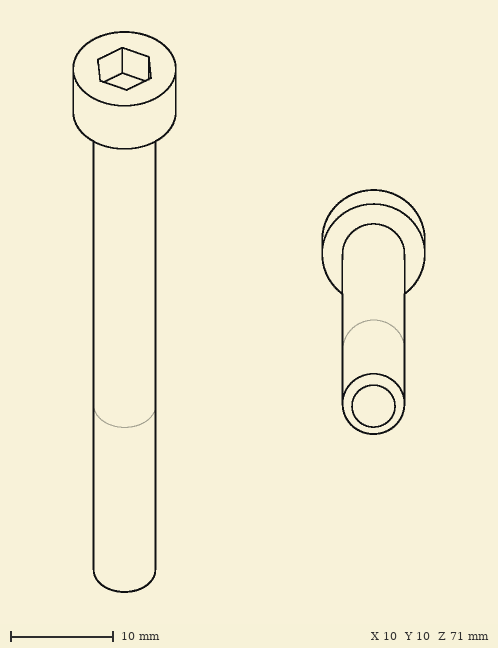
import cadquery as cq
import math

total_length = 71.0
head_diameter = 10.0
shank_diameter = 6.0
head_height = shank_diameter
thread_length = 24.0
tip_chamfer_radial = 0.9
tip_chamfer_length = 0.9
socket_across_flats = 5.0
socket_depth = 3.55

shank_length = total_length - head_height
plain_length = shank_length - thread_length
shank_radius = shank_diameter / 2
socket_across_corners = socket_across_flats / math.cos(math.radians(30))


def make_head():
    return cq.Workplane("XY").circle(head_diameter / 2).extrude(head_height)


def make_plain_shank():
    return cq.Workplane("XY").circle(shank_radius).extrude(-plain_length)


def make_threaded_end():
    """Thread envelope as a plain cylinder with a chamfered tip."""
    return (
        cq.Workplane("XY", origin=(0, 0, -plain_length))
        .circle(shank_radius)
        .extrude(-thread_length)
        .faces("<Z")
        .chamfer(tip_chamfer_length, tip_chamfer_radial)
    )


def make_hex_socket():
    """Flat-bottomed hexagon with two corners on the X axis."""
    return (
        cq.Workplane("XY", origin=(0, 0, head_height))
        .polygon(6, socket_across_corners)
        .extrude(-socket_depth)
    )


screw = make_head().union(make_plain_shank()).union(make_threaded_end(), clean=False)
result = screw.cut(make_hex_socket(), clean=False)